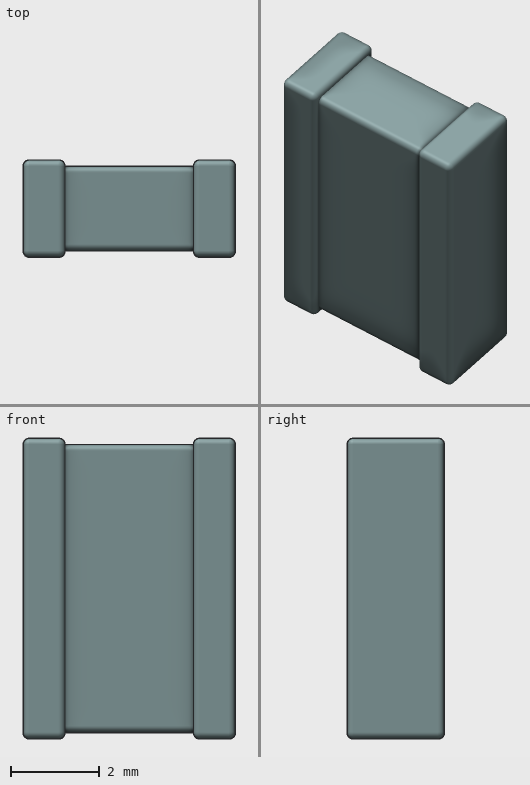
import cadquery as cq

LENGTH = 4.8
DEPTH = 2.2
HEIGHT = 6.8

TERMINAL_LENGTH = 0.95
EDGE_RADIUS = 0.14
BODY_STEP = EDGE_RADIUS

BODY_LENGTH = LENGTH - 2 * TERMINAL_LENGTH
BODY_DEPTH = DEPTH - 2 * BODY_STEP
BODY_HEIGHT = HEIGHT - 2 * BODY_STEP
TERMINAL_OFFSET = (LENGTH - TERMINAL_LENGTH) / 2


def make_body():
    """Central block, rounded along its length and flat where it meets the terminals."""
    block = cq.Workplane("XY").box(BODY_LENGTH, BODY_DEPTH, BODY_HEIGHT)
    return block.edges("|X").fillet(EDGE_RADIUS)


def make_terminal(side):
    """End block rounded on every edge; side is -1 or +1 along X."""
    block = cq.Workplane("XY").box(TERMINAL_LENGTH, DEPTH, HEIGHT)
    rounded = block.edges().fillet(EDGE_RADIUS)
    return rounded.translate((side * TERMINAL_OFFSET, 0, 0))


body = make_body()
terminals = [make_terminal(side) for side in (-1, 1)]

result = cq.Compound.makeCompound([body.val(), *[terminal.val() for terminal in terminals]])